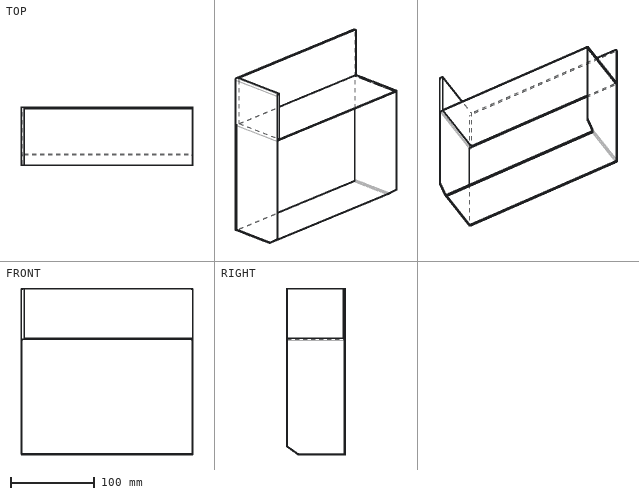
import cadquery as cq

width = 207.0
depth = 70.0
height = 200.0

box_wall = 1.0
side_wall = 4.0
back_wall = 2.0
box_height = 140.1

outer_radius = 2.0
inner_radius = 1.0
bevel_depth = 14.0
bevel_height = 10.0


def block(x_min, x_max, y_min, y_max, z_min, z_max):
    """Axis-aligned block between the given limits."""
    size = (x_max - x_min, y_max - y_min, z_max - z_min)
    return cq.Workplane("XY").box(*size, centered=False).translate((x_min, y_min, z_min))


body = block(0, width, 0, depth, 0, height).edges("|Y").fillet(outer_radius)

step = block(side_wall, width, 0, depth - back_wall, box_height, height)

cavity = block(
    box_wall, width - box_wall, 0, depth - box_wall, box_wall, box_height - box_wall
).edges("|Y").fillet(inner_radius)

bevel = (
    cq.Workplane("YZ")
    .polyline([(0, 0), (bevel_depth, 0), (0, bevel_height)])
    .close()
    .extrude(width)
)

result = body.cut(step).cut(cavity).cut(bevel)